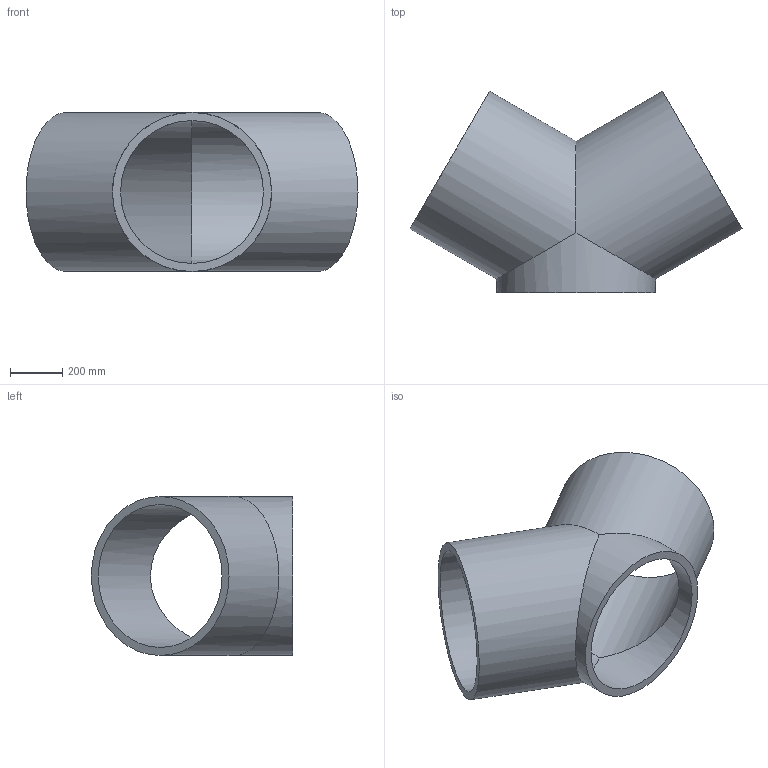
import cadquery as cq
import math

outer_diameter = 609.6
bore_diameter = 547.67

inlet_length = 228.6
arm_length = 558.8

leg_spacing = 120.0
inlet_angle = -90.0
legs = [
    (inlet_angle, inlet_length),
    (inlet_angle + leg_spacing, arm_length),
    (inlet_angle - leg_spacing, arm_length),
]


def mitred_leg(angle, length):
    """One pipe leg, cut back to the mitre planes it shares with its neighbours."""
    pipe = (
        cq.Workplane("YZ")
        .circle(outer_diameter / 2)
        .circle(bore_diameter / 2)
        .extrude(length)
    )

    half_width = length * math.tan(math.radians(leg_spacing / 2))
    sector = (
        cq.Workplane("XY")
        .polyline([(0, 0), (length, -half_width), (length, half_width)])
        .close()
        .extrude(outer_diameter / 2, both=True)
    )
    return pipe.intersect(sector).rotate((0, 0, 0), (0, 0, 1), angle)


def three_way_pipe():
    """Join the mitred legs into one hollow body, open at all three ends."""
    body = cq.Workplane("XY")
    for angle, length in legs:
        body = body.add(mitred_leg(angle, length))
    return body.combine()


result = three_way_pipe()